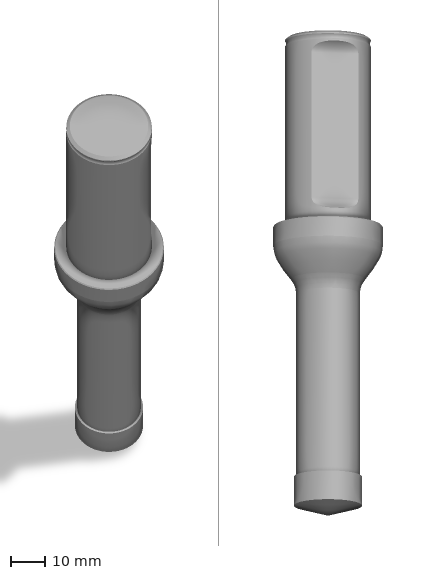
import cadquery as cq
import math


shank_radius = 25 / 2
shank_length = 56
end_chamfer_width = 1.05
end_chamfer_height = 0.7

groove_top = 54.95
groove_bottom = 53.3
groove_depth = 0.3

flat_distance = 10.4
flat_end_radius = 3.5
flat_bottom = 2.85
flat_top = 53.1

flange_radius = 32 / 2
flange_chamfer = 0.3
flange_bottom = -5.9
shoulder_angle = math.radians(39)
shoulder_middle = -11
shoulder_middle_radius = 14.35
shoulder_end = -15.8

body_radius = 18.6 / 2
body_top = -20.05

head_radius = 19.9 / 2
head_top = -74.45
head_bottom = -83
tip = -86


def make_holder_blank():
    """Revolve the holder: shank, flange, shoulder, neck and slender body."""
    groove_middle = (groove_top + groove_bottom) / 2
    shoulder_end_radius = body_radius + (shoulder_end - body_top) * math.tan(shoulder_angle / 2)
    profile = (
        cq.Workplane("XZ")
        .moveTo(0, shank_length)
        .lineTo(shank_radius - end_chamfer_width, shank_length)
        .lineTo(shank_radius, shank_length - end_chamfer_height)
        .lineTo(shank_radius, groove_top)
        .threePointArc((shank_radius - groove_depth, groove_middle), (shank_radius, groove_bottom))
        .lineTo(shank_radius, 0)
        .lineTo(flange_radius - flange_chamfer, 0)
        .lineTo(flange_radius, -flange_chamfer)
        .lineTo(flange_radius, flange_bottom)
        .spline(
            [(shoulder_middle_radius, shoulder_middle), (shoulder_end_radius, shoulder_end)],
            tangents=[(0, -1), (-math.sin(shoulder_angle), -math.cos(shoulder_angle))],
            includeCurrent=True,
        )
        .tangentArcPoint((body_radius, body_top), relative=False)
        .lineTo(body_radius, head_top)
        .lineTo(0, head_top)
        .close()
    )
    return profile.revolve(360, (0, 0), (0, 1))


def make_flat_cutter():
    """Block that leaves the clamping flat, with rounded inner edges at both ends of the flat."""
    cutter_depth = shank_radius
    return (
        cq.Workplane("XY")
        .box(2 * shank_radius, cutter_depth, flat_top - flat_bottom, centered=(True, False, False))
        .translate((0, flat_distance, flat_bottom))
        .edges("|X and <Y")
        .fillet(flat_end_radius)
    )


def make_holder():
    return make_holder_blank().cut(make_flat_cutter())


def make_drill_head():
    """Short cylinder with a conical point, seated against the end of the holder."""
    profile = (
        cq.Workplane("XZ")
        .moveTo(0, head_top)
        .lineTo(head_radius, head_top)
        .lineTo(head_radius, head_bottom)
        .lineTo(0, tip)
        .close()
    )
    return profile.revolve(360, (0, 0), (0, 1))


holder = make_holder()
drill_head = make_drill_head()

result = cq.Compound.makeCompound([holder.val(), drill_head.val()])